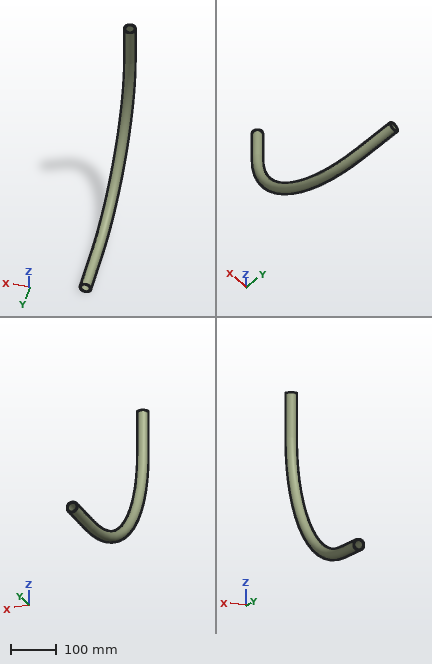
import cadquery as cq

overall_length = 419.0
outer_diameter = 25.5
inner_diameter = 21.5

leg_length = 101.5
bend_radius = overall_length - outer_diameter / 2 - leg_length
bend_angle = 90


def ring(workplane):
    """Annular tube section on the given workplane."""
    return workplane.circle(outer_diameter / 2).circle(inner_diameter / 2)


upright_leg = ring(cq.Workplane("XY").center(0, -bend_radius)).extrude(leg_length)

level_leg = ring(
    cq.Workplane("XZ").center(0, -bend_radius)
).extrude(-leg_length)

bend = ring(cq.Workplane("XY").center(0, -bend_radius)).revolve(
    bend_angle, (0, bend_radius, 0), (1, bend_radius, 0)
)

result = upright_leg.union(bend).union(level_leg)